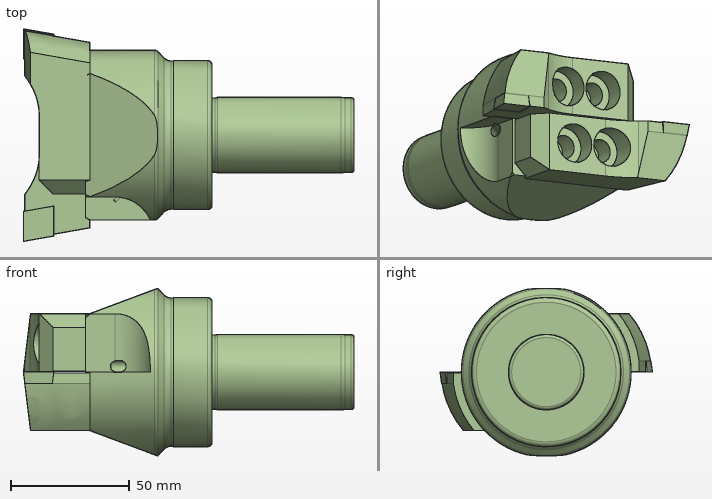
import cadquery as cq
import math


total_length = 140.0
shank_radius = 32.0 / 2
relief_radius = 31.5 / 2
relief_end = 81.2
relief_taper = 1.0
tail_radius = 31.8 / 2
tail_start = 136.2
tail_taper = 1.8
shank_end_fillet = 1.3
collar_radius = 63.3 / 2
neck_radius = 62.9 / 2
neck_start = 62.6
collar_start = 63.5
collar_end = 80.0
collar_fillet = 2.1

head_radius = 36.0
head_front = 26.3
rim_length = 2.0
rim_drop = 1.1
shoulder_start = 55.5
shoulder_fillet = 2.2
neck_fillet = 4.3
flat_angle = 20.5
flat_height = 24.1
clearance = 84.0

pocket_wall = 26.2
pocket_wall_end = 38.8
pocket_radius = 16.4

coolant_diameter = 5.0
coolant_x = 40.5
coolant_bite = 0.07
coolant_height = coolant_diameter / 2 - coolant_bite
coolant_angle = 41.0
coolant_depth = 14.0
coolant_overrun = 2.5

half_gap = 0.3
cutter_top = 24.8
cutter_back = 28.1
cutter_end = 24.9
end_chamfer = 5.9
side_angle = 10.0
relief_angle = 7.0
relief_start = 4.8
cutter_front = 0.5
side_reach = 44.2
side_top_reach = 35.5
side_radius = 39.2
recess_floor = 6.7
recess_arc_start = 8.0
recess_arc_end = 21.8
recess_arc_end_x = 2.8
recess_edge = 25.2

cutting_diameter = 90.0
insert_reach = cutting_diameter / 2
insert_width = 12.7
insert_length = 12.9

screw_diameter = 10.0
counterbore_diameter = 16.5
counterbore_floor = 16.1
screw_height = 12.0
first_screw_y = -6.9
screw_spacing = 17.5


def half_turn(shape):
    """The same shape turned 180 degrees about the tool axis."""
    return shape.rotate((0, 0, 0), (1, 0, 0), 180)


def arc_middle(start, end, radius, side):
    """Middle point of the minor arc; side is +1 for left of the way from start to end, else -1."""
    chord_x = end[0] - start[0]
    chord_y = end[1] - start[1]
    chord = math.hypot(chord_x, chord_y)
    rise = radius - math.sqrt(radius**2 - (chord / 2) ** 2)
    middle_x = (start[0] + end[0]) / 2 - side * rise * chord_y / chord
    middle_y = (start[1] + end[1]) / 2 + side * rise * chord_x / chord
    return (middle_x, middle_y)


def turned_blank():
    """Shank, collar and round head as one revolved profile."""
    diagonal = math.sqrt(0.5)
    head_arc_end = (
        shoulder_start + shoulder_fillet * diagonal,
        head_radius - shoulder_fillet * (1 - diagonal),
    )
    neck_arc_start = (
        neck_start - neck_fillet * diagonal,
        neck_radius + neck_fillet * (1 - diagonal),
    )
    head_arc_start = (shoulder_start, head_radius)
    neck_arc_end = (neck_start, neck_radius)
    collar_arc_start = (collar_end - collar_fillet, collar_radius)
    collar_arc_end = (collar_end, collar_radius - collar_fillet)
    tail_arc_start = (total_length - shank_end_fillet, tail_radius)
    tail_arc_end = (total_length, tail_radius - shank_end_fillet)
    profile = (
        cq.Workplane("XY")
        .moveTo(head_front, 0)
        .lineTo(head_front, head_radius - rim_drop)
        .lineTo(head_front + rim_length, head_radius)
        .lineTo(*head_arc_start)
        .threePointArc(arc_middle(head_arc_start, head_arc_end, shoulder_fillet, 1), head_arc_end)
        .lineTo(*neck_arc_start)
        .threePointArc(arc_middle(neck_arc_start, neck_arc_end, neck_fillet, -1), neck_arc_end)
        .lineTo(collar_start, neck_radius)
        .lineTo(collar_start, collar_radius)
        .lineTo(*collar_arc_start)
        .threePointArc(arc_middle(collar_arc_start, collar_arc_end, collar_fillet, 1), collar_arc_end)
        .lineTo(collar_end, relief_radius)
        .lineTo(relief_end, relief_radius)
        .lineTo(relief_end + relief_taper, shank_radius)
        .lineTo(tail_start - tail_taper, shank_radius)
        .lineTo(tail_start, tail_radius)
        .lineTo(*tail_arc_start)
        .threePointArc(arc_middle(tail_arc_start, tail_arc_end, shank_end_fillet, 1), tail_arc_end)
        .lineTo(total_length, 0)
        .close()
    )
    return profile.revolve(360, (0, 0, 0), (1, 0, 0))


def flat_cutter():
    """Wedge above the sloping top flat of the head."""
    rise = clearance * math.tan(math.radians(flat_angle))
    return (
        cq.Workplane("XZ")
        .moveTo(head_front, flat_height)
        .lineTo(head_front + clearance, flat_height + rise)
        .lineTo(head_front, flat_height + rise)
        .close()
        .extrude(clearance, both=True)
    )


def pocket_cutter():
    """Chip pocket on the -Y side: flat wall with a round end, floor on the middle plane."""
    centre_y = -pocket_wall - pocket_radius
    round_end = (
        cq.Workplane("XY").center(pocket_wall_end, centre_y).circle(pocket_radius).extrude(clearance)
    )
    straight = cq.Workplane("XY").box(
        pocket_wall_end, 2 * pocket_radius, clearance, centered=(False, True, False)
    )
    return straight.translate((0, centre_y, 0)).union(round_end)


def coolant_cutter():
    """Coolant hole drilled at an angle into the pocket wall."""
    angle = math.radians(coolant_angle)
    inward = cq.Vector(math.cos(angle), math.sin(angle), 0)
    start = cq.Vector(coolant_x, -pocket_wall, coolant_height) - inward * coolant_overrun
    length = coolant_overrun + coolant_depth
    return cq.Workplane(cq.Solid.makeCylinder(coolant_diameter / 2, length, start, inward))


def make_tool_body():
    body = turned_blank()
    for cutter in (flat_cutter(), pocket_cutter(), coolant_cutter()):
        body = body.cut(cutter).cut(half_turn(cutter))
    return body


def cutter_plan():
    """Plan shape of the cutter; its cutting side is left oversize."""
    recess_depth = recess_floor - recess_arc_end_x
    recess_width = recess_arc_end - recess_arc_start
    recess_radius = (recess_depth**2 + recess_width**2) / (2 * recess_depth)
    arc_start = (recess_floor, recess_arc_start)
    arc_end = (recess_arc_end_x, recess_arc_end)
    return (
        cq.Workplane("XY", origin=(0, 0, half_gap))
        .moveTo(recess_floor + end_chamfer, -cutter_end)
        .lineTo(recess_floor, end_chamfer - cutter_end)
        .lineTo(*arc_start)
        .threePointArc(arc_middle(arc_start, arc_end, recess_radius, -1), arc_end)
        .lineTo(cutter_front, recess_edge)
        .lineTo(cutter_front, clearance)
        .lineTo(cutter_back, clearance)
        .lineTo(cutter_back, -cutter_end)
        .close()
        .extrude(cutter_top - half_gap)
    )


def cutting_side():
    """Everything inside the round cutting side, swept at the side angle."""
    arc_start = (side_reach, relief_start)
    arc_end = (side_top_reach, cutter_top)
    section = (
        cq.Workplane("YZ")
        .moveTo(-clearance / 2, half_gap)
        .lineTo(side_reach, half_gap)
        .lineTo(*arc_start)
        .threePointArc(arc_middle(arc_start, arc_end, side_radius, -1), arc_end)
        .lineTo(-clearance / 2, cutter_top)
        .close()
    )
    sweep = cq.Vector(cutter_back, -cutter_back * math.tan(math.radians(side_angle)), 0)
    return cq.Workplane(cq.Solid.extrudeLinear(section.val(), [], sweep))


def front_relief_cutter():
    """Wedge that slopes the front face back above the insert."""
    height = cutter_top - relief_start
    setback = height * math.tan(math.radians(relief_angle))
    return (
        cq.Workplane("XZ")
        .moveTo(cutter_front, relief_start)
        .lineTo(cutter_front + setback, cutter_top)
        .lineTo(cutter_front, cutter_top)
        .close()
        .extrude(clearance, both=True)
    )


def end_chamfer_cutter():
    """Wedge that bevels the top edge of the plain end."""
    return (
        cq.Workplane("YZ")
        .moveTo(-cutter_end, cutter_top)
        .lineTo(-cutter_end, cutter_top - end_chamfer)
        .lineTo(end_chamfer - cutter_end, cutter_top)
        .close()
        .extrude(clearance)
    )


def cutting_insert():
    """Slanted insert with relieved sides; its cutting edges lie on the middle plane."""
    side_shift = insert_length * math.tan(math.radians(side_angle))
    relief_inset = relief_start * math.tan(math.radians(relief_angle))
    outline = (
        cq.Workplane("XY")
        .moveTo(0, insert_reach)
        .lineTo(insert_length, insert_reach - side_shift)
        .lineTo(insert_length, insert_reach - side_shift - insert_width)
        .lineTo(0, insert_reach - insert_width)
        .close()
    )
    cutting_edge = outline.val()
    back_edge = cutting_edge.offset2D(-relief_inset)[0].translate(cq.Vector(0, 0, relief_start))
    return cq.Workplane(cq.Solid.makeLoft([cutting_edge, back_edge], True))


def screw_cutter():
    """Two counterbored through holes, side by side."""
    centres = [(first_screw_y + i * screw_spacing, screw_height) for i in range(2)]
    holes = cq.Workplane("YZ").pushPoints(centres).circle(screw_diameter / 2).extrude(head_front)
    counterbores = (
        cq.Workplane("YZ").pushPoints(centres).circle(counterbore_diameter / 2).extrude(counterbore_floor)
    )
    return holes.union(counterbores)


def make_cutter(tool_body):
    """Upper cutter, its insert on the +Y side and its back shaped to fit over the head."""
    cutter = cutter_plan().intersect(cutting_side())
    cutter = cutter.cut(front_relief_cutter()).cut(end_chamfer_cutter())
    cutter = cutter.union(cutting_insert()).cut(screw_cutter())
    return cutter.cut(tool_body).solids()


tool_body = make_tool_body()
upper_cutter = make_cutter(tool_body)
cutters = [upper_cutter.rotate((0, 0, 0), (1, 0, 0), 180 * i) for i in range(2)]

result = cq.Compound.makeCompound([tool_body.val(), *[cutter.val() for cutter in cutters]])